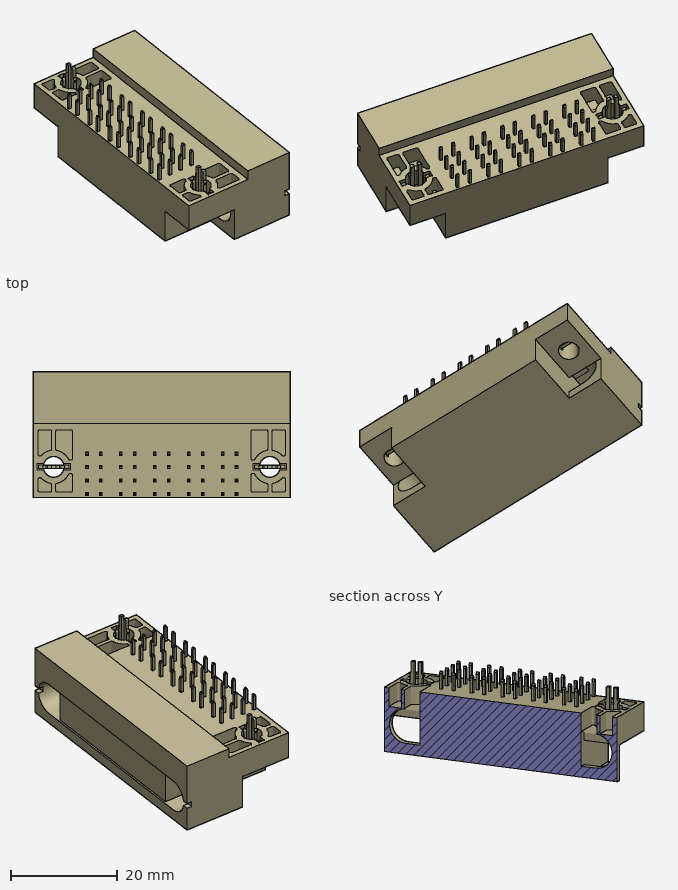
import cadquery as cq


length = 48.25
depth = 23.6
deck_height = 12.6
rear_height = 14.57
deck_depth = 13.85

corner_cut_length = 7.4
corner_cut_depth = 10.65
corner_cut_height = 6.95

socket_end_wall = 1.1
socket_radius = 3.3
socket_center_height = 5.5
insert_length = length - 2 * corner_cut_length
insert_recess = 0.4
notch_height = 1.05
notch_depth = 1.05

pin_pair_count = 5
pin_row_count = 4
pin_spacing = 2.55
pin_pair_pitch = 6.35
pin_row_pitch = 2.5
first_row_y = 0.68
pin_length_x = 0.5
pin_width_y = 0.6
pin_tip_width = 0.25
pin_tip_height = 0.4
pin_top = 15.95

lock_x = 20.25
lock_y = 5.75
lock_hole_radius = 1.95
lock_slot_length = 6.25
lock_slot_width = 1.25
lock_slot_depth = 2.9

clip_top = 16.5
clip_thickness = 0.65
clip_base_length = 5.75
clip_base_height = 0.7
clip_gap = 0.8
leg_top_reach = 1.1
leg_root_reach = 1.25
leg_bump_reach = 1.4
leg_bump_height = 13.9
leg_bump_rise = 0.5
leg_tip_radius = 0.2
clip_arm_width = 0.85
clip_arm_drop = 0.4

pocket_depth = 3.6
pocket_ring_radius = 3.15
pocket_fillet = 0.3
pocket_rear_reach = 6.95
pocket_front_reach = 4.75
outer_pocket_far_x = 2.9
outer_pocket_near_x = 0.4
outer_pocket_near_y = 2.05
inner_pocket_far_x = 3.5
inner_pocket_near_x = 0.4
inner_pocket_near_y = 1.25


def box(x_range, y_range, z_range):
    """Axis-aligned box from (low, high) pairs."""
    (x0, x1), (y0, y1), (z0, z1) = x_range, y_range, z_range
    return cq.Workplane("XY").box(x1 - x0, y1 - y0, z1 - z0, centered=False).translate((x0, y0, z0))


def make_housing():
    """Stepped block with the two lower front corners removed."""
    profile = [
        (0, 0),
        (depth, 0),
        (depth, rear_height),
        (deck_depth, rear_height),
        (deck_depth, deck_height),
        (0, deck_height),
    ]
    block = cq.Workplane("YZ").polyline(profile).close().extrude(length / 2, both=True)
    cut = box(
        (length / 2 - corner_cut_length, length / 2),
        (0, corner_cut_depth),
        (0, corner_cut_height),
    )
    return block.cut(cut).cut(cut.mirror("YZ"))


def make_socket():
    """Space of the socket around its insert, with the key notches in the end walls."""
    socket_depth = depth - corner_cut_depth
    socket = (
        cq.Workplane("XZ", origin=(0, depth, socket_center_height))
        .slot2D(length - 2 * socket_end_wall, 2 * socket_radius)
        .extrude(socket_depth)
    )
    insert = box(
        (-insert_length / 2, insert_length / 2),
        (corner_cut_depth, depth - insert_recess),
        (0, rear_height),
    )
    notch_bottom = socket_center_height - notch_height / 2
    notch = box(
        (insert_length / 2, length / 2),
        (depth - notch_depth, depth),
        (notch_bottom, notch_bottom + notch_height),
    )
    return socket.cut(insert).union(notch).union(notch.mirror("YZ"))


def make_pin():
    """Flat contact pin standing on the deck, tapering in Y at its tip."""
    half_width = pin_width_y / 2
    half_tip = pin_tip_width / 2
    shoulder = pin_top - pin_tip_height
    profile = [
        (-half_width, deck_height),
        (half_width, deck_height),
        (half_width, shoulder),
        (half_tip, pin_top),
        (-half_tip, pin_top),
        (-half_width, shoulder),
    ]
    return cq.Workplane("YZ").polyline(profile).close().extrude(pin_length_x / 2, both=True)


def pin_positions():
    """Column and row centers of all contact pins."""
    positions = []
    for pair in range(pin_pair_count):
        pair_x = (pair - (pin_pair_count - 1) / 2) * pin_pair_pitch
        for side in (-1, 1):
            for row in range(pin_row_count):
                positions.append((pair_x + side * pin_spacing / 2, first_row_y + row * pin_row_pitch))
    return positions


def make_pocket(x_range, y_range):
    """Blind pocket next to the lock hole, kept clear of the ring around the hole."""
    floor = deck_height - pocket_depth
    pocket = box(x_range, y_range, (floor, deck_height))
    ring = cq.Workplane("XY").workplane(offset=floor).circle(pocket_ring_radius).extrude(pocket_depth)
    return pocket.cut(ring).edges("|Z").fillet(pocket_fillet)


def make_lock_openings():
    """Hole, clip slot and four pockets, with the outer end toward -X and the hole at the origin."""
    hole = cq.Workplane("XY").circle(lock_hole_radius).extrude(deck_height)
    slot = box(
        (-lock_slot_length / 2, lock_slot_length / 2),
        (-lock_slot_width / 2, lock_slot_width / 2),
        (deck_height - lock_slot_depth, deck_height),
    )
    outer_x = (-outer_pocket_far_x, -outer_pocket_near_x)
    inner_x = (inner_pocket_near_x, inner_pocket_far_x)
    return (
        hole.union(slot)
        .union(make_pocket(outer_x, (outer_pocket_near_y, pocket_rear_reach)))
        .union(make_pocket(inner_x, (inner_pocket_near_y, pocket_rear_reach)))
        .union(make_pocket(outer_x, (-pocket_front_reach, -outer_pocket_near_y)))
        .union(make_pocket(inner_x, (-pocket_front_reach, -inner_pocket_near_y)))
    )


def make_clip():
    """Board-lock clip centered on the hole axis: base on the slot floor, two legs, two end arms."""
    base_bottom = deck_height - lock_slot_depth
    base_top = base_bottom + clip_base_height
    base = box(
        (-clip_base_length / 2, clip_base_length / 2),
        (-clip_thickness / 2, clip_thickness / 2),
        (base_bottom, base_top),
    )
    leg = (
        cq.Workplane("XZ")
        .moveTo(clip_gap / 2, base_top)
        .lineTo(leg_root_reach, base_top)
        .lineTo(leg_root_reach, leg_bump_height - leg_bump_rise)
        .lineTo(leg_bump_reach, leg_bump_height - leg_bump_rise / 2)
        .lineTo(leg_bump_reach, leg_bump_height)
        .lineTo(leg_top_reach, leg_bump_height + leg_bump_rise)
        .lineTo(leg_top_reach, clip_top - leg_tip_radius)
        .radiusArc((leg_top_reach - leg_tip_radius, clip_top), -leg_tip_radius)
        .lineTo(clip_gap / 2, clip_top)
        .close()
        .extrude(clip_thickness / 2, both=True)
    )
    arm_outer = clip_base_length / 2
    arm_inner = arm_outer - clip_arm_width
    arm_top = deck_height - clip_arm_drop
    arm_shoulder = arm_top - clip_arm_width / 2
    arm = (
        cq.Workplane("XZ")
        .moveTo(arm_inner, base_top)
        .lineTo(arm_outer, base_top)
        .lineTo(arm_outer, arm_shoulder)
        .threePointArc(((arm_inner + arm_outer) / 2, arm_top), (arm_inner, arm_shoulder))
        .close()
        .extrude(clip_thickness / 2, both=True)
    )
    half = leg.union(arm)
    return base.union(half).union(half.mirror("YZ"))


housing = make_housing().cut(make_socket())

station = make_lock_openings().translate((-lock_x, lock_y, 0))
housing = housing.cut(station).cut(station.mirror("YZ"))

clip = make_clip()
for clip_x in (-lock_x, lock_x):
    housing = housing.union(clip.translate((clip_x, lock_y, 0)))

pin = make_pin()
for x, y in pin_positions():
    housing = housing.union(pin.translate((x, y, 0)))

result = housing